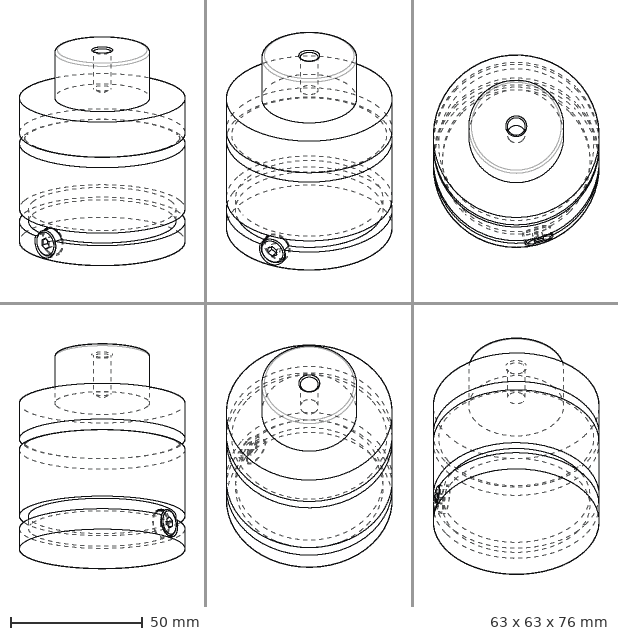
import cadquery as cq
import math

total_height = 76.0
body_diameter = 63.0
neck_diameter = 56.0
rod_diameter = 36.0
collar_top = 8.0
neck_top = 12.9
body_top = 57.0
rod_edge_fillet = 1.0

groove_height = 41.0
groove_radius = 2.05

hole_diameter = 6.8
hole_mouth_diameter = 8.0
hole_depth = 15.2
drill_point_angle = 118.0

screw_height = 6.0
screw_head_diameter = 10.0
screw_head_chamfer = 0.5
screw_head_length = 4.0
screw_face_distance = 31.1
counterbore_diameter = 11.0
socket_width = 3.65
socket_depth = 3.05


def cylinder(diameter, bottom, top):
    return cq.Workplane("XY").workplane(offset=bottom).circle(diameter / 2).extrude(top - bottom)


def side_plane(distance):
    """Workplane facing -Y, centred on the screw axis at a distance from the body axis."""
    return cq.Workplane("XZ", origin=(0, -distance, screw_height))


def make_body():
    collar = cylinder(body_diameter, 0, collar_top)
    neck = cylinder(neck_diameter, collar_top, neck_top)
    main = cylinder(body_diameter, neck_top, body_top)
    rod = cylinder(rod_diameter, body_top, total_height).faces(">Z").edges().fillet(rod_edge_fillet)
    groove = cq.Workplane("XY").add(
        cq.Solid.makeTorus(body_diameter / 2, groove_radius, cq.Vector(0, 0, groove_height))
    )
    return collar.union(neck).union(main.cut(groove)).union(rod)


def make_rod_hole():
    """Revolved drill shape: 45 degree mouth, straight wall and conical point."""
    radius = hole_diameter / 2
    mouth_radius = hole_mouth_diameter / 2
    mouth_depth = mouth_radius - radius
    floor = total_height - hole_depth
    point_length = radius / math.tan(math.radians(drill_point_angle / 2))
    return (
        cq.Workplane("XZ")
        .moveTo(0, total_height)
        .lineTo(mouth_radius, total_height)
        .lineTo(radius, total_height - mouth_depth)
        .lineTo(radius, floor)
        .lineTo(0, floor - point_length)
        .close()
        .revolve(360, (0, 0, 0), (0, 1, 0))
    )


def make_screw_head():
    seat_distance = screw_face_distance - screw_head_length
    head = side_plane(seat_distance).circle(screw_head_diameter / 2).extrude(screw_head_length)
    head = head.faces("<Y").edges().chamfer(screw_head_chamfer)
    corner_diameter = socket_width / math.cos(math.pi / 6)
    socket = (
        side_plane(screw_face_distance)
        .transformed(rotate=(0, 0, 90))
        .polygon(6, corner_diameter)
        .extrude(-socket_depth)
    )
    return head.cut(socket)


def make_counterbore():
    """Clearance pocket around the screw head, open through the collar rim."""
    seat_distance = screw_face_distance - screw_head_length
    pocket_depth = body_diameter / 2 - seat_distance
    return side_plane(seat_distance).circle(counterbore_diameter / 2).extrude(pocket_depth)


result = make_body().cut(make_rod_hole()).cut(make_counterbore()).union(make_screw_head())